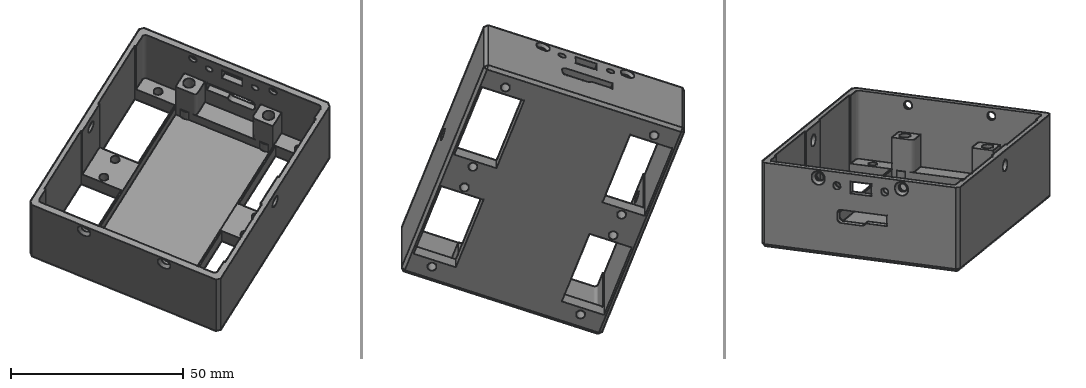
import cadquery as cq

LENGTH_X = 62.0
LENGTH_Y = 72.0
HEIGHT = 26.0
WALL = 2.0
EDGE_CHAMFER = 1.0
CAVITY_FILLET = 1.0
SHELF_Z = 5.05

FLOOR_Z = 1.5
POCKET_X = 31.7
POCKET_Y = 56.9

WINDOW_X = 13.0
WINDOW_Y = 23.55
WINDOW_CENTER_X = 22.9
WINDOW_CENTER_Y = 17.3
SHELF_HOLE_DIAMETER = 2.6
SHELF_HOLE_X = 23.0
SHELF_HOLE_CENTER_Y = 17.4
SHELF_HOLE_PITCH = 27.65

POST_X = 6.8
POST_TOP_Z = 15.0
POST_FILLET = 1.0
POST_HOLE_DIAMETER = 3.4
POST_HOLE_X = 12.95
POST_HOLE_Y = 31.4
BULGE_DIAMETER = 6.5

LID_HOLE_DIAMETER = 2.5
LID_SINK_DIAMETER = 4.2
LID_SINK_DEPTH = 1.0
LID_HOLE_X = 13.0
LID_HOLE_Z = HEIGHT - 2.5

SIDE_HOLE_DIAMETER = 3.5
SIDE_HOLE_Z = 21.45

SWITCH_CENTER_X = -0.3
SWITCH_X = 6.6
SWITCH_HEIGHT = 3.7
SWITCH_Z = 21.8
SWITCH_HOLE_DIAMETER = 2.2
SWITCH_HOLE_PITCH = 15.0

SLOT_LEFT = -8.5
SLOT_RIGHT = 7.1
SLOT_TOP = 14.6
SLOT_BOTTOM = 11.4
SLOT_STEP_X = -1.9
SLOT_STEP_BOTTOM = 10.5
SLOT_FILLET = 1.45

CAVITY_X = LENGTH_X - 2 * WALL
CAVITY_Y = LENGTH_Y - 2 * WALL
SIGNS = (-1, 1)
CORNERS = [(sx, sy) for sx in SIGNS for sy in SIGNS]


def block(x_range, y_range, z_range):
    """Axis-aligned box between the given limits."""
    sizes = [high - low for low, high in (x_range, y_range, z_range)]
    start = (x_range[0], y_range[0], z_range[0])
    return cq.Workplane("XY").box(*sizes, centered=False).translate(start)


def upright_cylinder(x, y, diameter, bottom, top):
    return cq.Workplane("XY", origin=(x, y, bottom)).circle(diameter / 2).extrude(top - bottom)


def make_shell():
    """Chamfered box with a filleted cavity down to the shelves and a deeper central pocket."""
    outer = cq.Workplane("XY").box(LENGTH_X, LENGTH_Y, HEIGHT, centered=(True, True, False))
    outer = outer.edges("|Z or <Z").chamfer(EDGE_CHAMFER)
    cavity = (
        cq.Workplane("XY", origin=(0, 0, SHELF_Z))
        .rect(CAVITY_X, CAVITY_Y)
        .extrude(HEIGHT - SHELF_Z)
        .edges("|Z")
        .fillet(CAVITY_FILLET)
    )
    pocket = cq.Workplane("XY", origin=(0, 0, FLOOR_Z)).rect(POCKET_X, POCKET_Y).extrude(HEIGHT - FLOOR_Z)
    return outer.cut(cavity).cut(pocket)


def make_post(side, end):
    """Post in a pocket corner with a blind hole and a shallow round bulge at its foot."""
    center_x = side * (POCKET_X - POST_X) / 2
    depth_y = (CAVITY_Y - POCKET_Y) / 2
    center_y = end * (POCKET_Y + depth_y) / 2
    post = (
        cq.Workplane("XY", origin=(center_x, center_y, SHELF_Z))
        .rect(POST_X, depth_y)
        .extrude(POST_TOP_Z - SHELF_Z)
    )
    inner_corner = cq.NearestToPointSelector((0, end * POCKET_Y / 2, (SHELF_Z + POST_TOP_Z) / 2))
    post = post.edges("|Z").edges(inner_corner).fillet(POST_FILLET)
    hole_x = side * POST_HOLE_X
    hole_y = end * POST_HOLE_Y
    bulge = upright_cylinder(hole_x, hole_y, BULGE_DIAMETER, FLOOR_Z, SHELF_Z)
    hole = upright_cylinder(hole_x, hole_y, POST_HOLE_DIAMETER, SHELF_Z, POST_TOP_Z)
    return post.cut(hole).union(bulge)


def make_window(side, end):
    """Opening cut at full height, so it also thins the side wall, plus its two screw holes."""
    window = (
        cq.Workplane("XY", origin=(side * WINDOW_CENTER_X, end * WINDOW_CENTER_Y, 0))
        .rect(WINDOW_X, WINDOW_Y)
        .extrude(HEIGHT)
    )
    for offset in SIGNS:
        hole_y = end * SHELF_HOLE_CENTER_Y + offset * SHELF_HOLE_PITCH / 2
        window = window.union(upright_cylinder(side * SHELF_HOLE_X, hole_y, SHELF_HOLE_DIAMETER, 0, SHELF_Z))
    return window


def make_lid_hole(side, end):
    """Countersunk hole entering an end wall from outside."""
    start = cq.Vector(side * LID_HOLE_X, end * LENGTH_Y / 2, LID_HOLE_Z)
    inward = cq.Vector(0, -end, 0)
    hole = cq.Solid.makeCylinder(LID_HOLE_DIAMETER / 2, WALL, start, inward)
    sink = cq.Solid.makeCone(LID_SINK_DIAMETER / 2, LID_HOLE_DIAMETER / 2, LID_SINK_DEPTH, start, inward)
    return hole.fuse(sink)


def make_rear_openings():
    """Switch opening with screw holes, and the stepped slot below it."""
    wall_y = (CAVITY_Y / 2, LENGTH_Y / 2)
    switch_x = (SWITCH_CENTER_X - SWITCH_X / 2, SWITCH_CENTER_X + SWITCH_X / 2)
    switch_z = (SWITCH_Z - SWITCH_HEIGHT / 2, SWITCH_Z + SWITCH_HEIGHT / 2)
    openings = block(switch_x, wall_y, switch_z)
    for offset in SIGNS:
        start = cq.Vector(SWITCH_CENTER_X + offset * SWITCH_HOLE_PITCH / 2, wall_y[0], SWITCH_Z)
        hole = cq.Solid.makeCylinder(SWITCH_HOLE_DIAMETER / 2, WALL, start, cq.Vector(0, 1, 0))
        openings = openings.union(cq.Workplane(hole))
    slot = block((SLOT_LEFT, SLOT_RIGHT - SLOT_FILLET), wall_y, (SLOT_BOTTOM, SLOT_TOP))
    step = block((SLOT_STEP_X, SLOT_RIGHT), wall_y, (SLOT_STEP_BOTTOM, SLOT_TOP))
    step = step.edges("|Y").fillet(SLOT_FILLET)
    return openings.union(slot).union(step)


result = make_shell()
for side, end in CORNERS:
    result = result.union(make_post(side, end))
for side, end in CORNERS:
    result = result.cut(make_window(side, end))
    result = result.cut(cq.Workplane(make_lid_hole(side, end)))
result = result.cut(make_rear_openings())

side_holes = (
    cq.Workplane("YZ", origin=(0, 0, SIDE_HOLE_Z))
    .circle(SIDE_HOLE_DIAMETER / 2)
    .extrude(LENGTH_X / 2, both=True)
)
result = result.cut(side_holes)